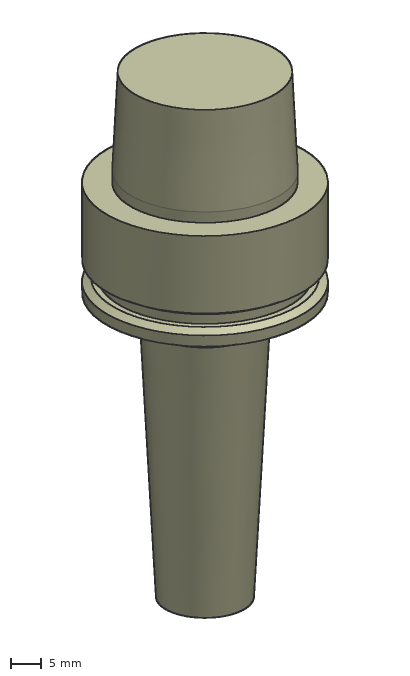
import cadquery as cq
import math


taper_height = 20.0
taper_collar_height = 2.0
taper_collar_radius = 30.2 / 2
taper_ratio = 1 / 10
taper_top_radius = taper_collar_radius - (taper_height - taper_collar_height) * taper_ratio / 2

flange_radius = 40.0 / 2
flange_height = 20.0
groove_radius = 34.8 / 2
groove_upper_edge_z = -14.0
groove_lower_edge_z = -18.0
groove_chamfer_angle = math.radians(30)
upper_chamfer_height = 1.2
lower_chamfer_height = 0.83
upper_chamfer_radius = flange_radius - upper_chamfer_height / math.tan(groove_chamfer_angle)
lower_chamfer_radius = flange_radius - lower_chamfer_height / math.tan(groove_chamfer_angle)
groove_top_z = groove_upper_edge_z - upper_chamfer_height
groove_bottom_z = groove_lower_edge_z + lower_chamfer_height

nose_tip_z = -75.0
nose_tip_radius = 16.0 / 2
nose_half_angle = math.radians(3)
neck_cone_height = 4.8
neck_z = -flange_height - neck_cone_height
neck_radius = nose_tip_radius + (neck_z - nose_tip_z) * math.tan(nose_half_angle)
neck_cone_top_radius = neck_radius + neck_cone_height


def holder_body():
    """Revolve the half profile, given as (radius, z) points from the nose tip up."""
    nose = [
        (0, nose_tip_z),
        (nose_tip_radius, nose_tip_z),
        (neck_radius, neck_z),
        (neck_cone_top_radius, -flange_height),
    ]
    flange = [
        (flange_radius, -flange_height),
        (flange_radius, groove_lower_edge_z),
        (lower_chamfer_radius, groove_bottom_z),
        (groove_radius, groove_bottom_z),
        (groove_radius, groove_top_z),
        (upper_chamfer_radius, groove_top_z),
        (flange_radius, groove_upper_edge_z),
        (flange_radius, 0),
    ]
    taper = [
        (taper_collar_radius, 0),
        (taper_collar_radius, taper_collar_height),
        (taper_top_radius, taper_height),
        (0, taper_height),
    ]
    profile = cq.Workplane("XZ").polyline(nose + flange + taper).close()
    return profile.revolve(360, (0, 0, 0), (0, 1, 0))


result = holder_body()